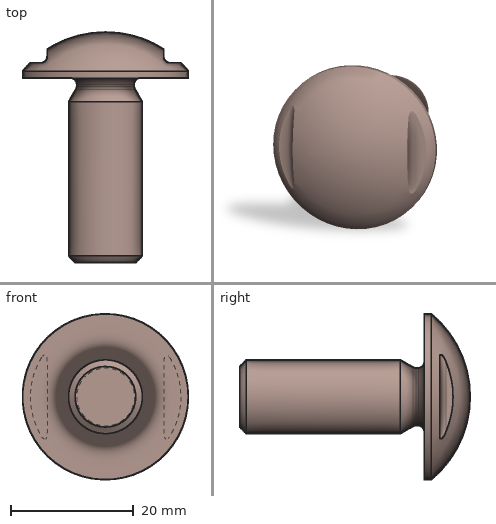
import cadquery as cq
import math

head_radius = 27.0 / 2
head_height = 7.5
dome_radius = 17.5

flat_half_width = 9.5
ledge_height = 2.5
ledge_fillet = 1.0

shank_radius = 12.0 / 2
shank_length = 30.0
tip_chamfer = 1.07
neck_radius = 9.4 / 2
head_neck_fillet = 1.0
shank_start = 3.85
cone_angle = math.radians(30)
neck_cone_blend = 1.0

dome_center = head_height - dome_radius
rim_height = dome_center + math.sqrt(dome_radius**2 - head_radius**2)


def dome_point(radius):
    """Point of the dome profile at a given distance from the axis."""
    return (radius, dome_center + math.sqrt(dome_radius**2 - radius**2))


def blend_point(angle):
    """Point of the neck-to-cone arc, where angle 0 is the neck end."""
    corner = shank_start - (shank_radius - neck_radius) / math.tan(cone_angle)
    arc_start = corner - neck_cone_blend * math.tan(cone_angle / 2)
    return (
        neck_radius + neck_cone_blend * (1 - math.cos(angle)),
        -arc_start - neck_cone_blend * math.sin(angle),
    )


def make_screw_body():
    """Head, neck and shank as one profile revolved about the Y axis."""
    fillet_outer = neck_radius + head_neck_fillet
    fillet_inset = head_neck_fillet * (1 - math.sqrt(0.5))
    return (
        cq.Workplane("XY")
        .moveTo(0, head_height)
        .threePointArc(dome_point(head_radius / 2), (head_radius, rim_height))
        .lineTo(head_radius, 0)
        .lineTo(fillet_outer, 0)
        .threePointArc(
            (neck_radius + fillet_inset, -fillet_inset),
            (neck_radius, -head_neck_fillet),
        )
        .lineTo(*blend_point(0))
        .threePointArc(blend_point(cone_angle / 2), blend_point(cone_angle))
        .lineTo(shank_radius, -shank_start)
        .lineTo(shank_radius, -shank_length + tip_chamfer)
        .lineTo(shank_radius - tip_chamfer, -shank_length)
        .lineTo(0, -shank_length)
        .close()
        .revolve(360, (0, 0, 0), (0, 1, 0))
    )


def make_side_cutter(side):
    """Block that cuts one side flat; side is -1 or +1 along X."""
    cutter_width = head_radius - flat_half_width
    return (
        cq.Workplane("XY")
        .box(cutter_width, head_height - ledge_height, 2 * head_radius, centered=(True, False, True))
        .translate((side * (flat_half_width + cutter_width / 2), ledge_height, 0))
        .edges("<Y and >X" if side < 0 else "<Y and <X")
        .fillet(ledge_fillet)
    )


result = make_screw_body()
for side in (-1, 1):
    result = result.cut(make_side_cutter(side))